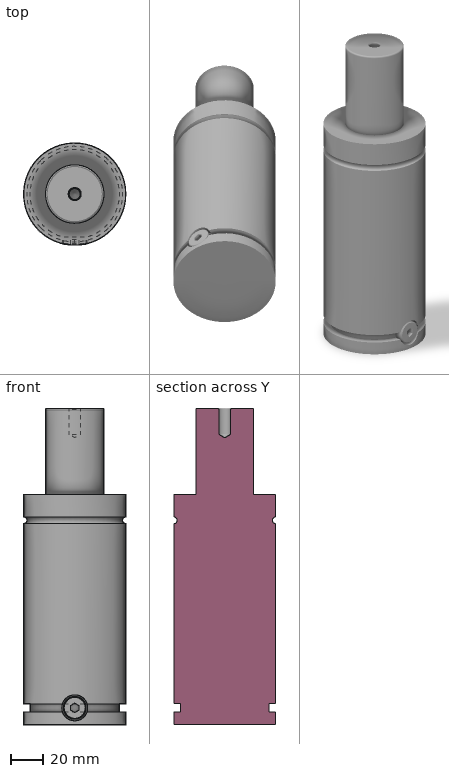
import cadquery as cq
import math

body_diameter = 63.0
body_height = 142.0

base_groove_bottom = 8.0
base_groove_width = 5.0
base_groove_diameter = 55.0

neck_groove_height = 126.0
neck_groove_radius = 2.0

rod_diameter = 36.0
total_height = 195.0
rod_edge_radius = 1.0

rod_hole_diameter = 6.8
rod_hole_mouth_diameter = 8.0
rod_hole_depth = 16.0
drill_point_angle = 118.0

port_height = base_groove_bottom + base_groove_width / 2
port_diameter = 16.0
plug_diameter = 14.0
port_depth = 5.2
plug_face_inset = 0.5
plug_edge_chamfer = 0.5
hex_across_flats = 5.0
hex_depth = 3.0

body_radius = body_diameter / 2
port_floor_y = -body_radius + port_depth
plug_face_y = -body_radius + plug_face_inset


def make_body():
    return cq.Workplane("XY").circle(body_radius).extrude(body_height)


def make_base_groove():
    return (
        cq.Workplane("XY")
        .workplane(offset=base_groove_bottom)
        .circle(body_radius)
        .circle(base_groove_diameter / 2)
        .extrude(base_groove_width)
    )


def make_neck_groove():
    return (
        cq.Workplane("XZ")
        .center(body_radius, neck_groove_height)
        .circle(neck_groove_radius)
        .revolve(360, (-body_radius, 0), (-body_radius, 1))
    )


def make_rod():
    return (
        cq.Workplane("XY")
        .workplane(offset=body_height)
        .circle(rod_diameter / 2)
        .extrude(total_height - body_height)
        .faces(">Z")
        .edges()
        .fillet(rod_edge_radius)
    )


def make_rod_hole():
    """Drilled hole with a conical bottom and a 45 degree countersunk mouth at the rod end."""
    radius = rod_hole_diameter / 2
    mouth_radius = rod_hole_mouth_diameter / 2
    countersink_depth = mouth_radius - radius
    point_length = radius / math.tan(math.radians(drill_point_angle / 2))
    shoulder = total_height - rod_hole_depth
    return (
        cq.Workplane("XZ")
        .moveTo(0, total_height)
        .lineTo(mouth_radius, total_height)
        .lineTo(radius, total_height - countersink_depth)
        .lineTo(radius, shoulder)
        .lineTo(0, shoulder - point_length)
        .close()
        .revolve(360, (0, 0), (0, 1))
    )


def port_plane(y):
    """Sketch plane across the port axis; extrusions run outward, toward -Y."""
    return cq.Workplane("XZ", origin=(0, y, port_height))


def make_port_recess():
    return port_plane(port_floor_y).circle(port_diameter / 2).extrude(port_depth)


def make_plug():
    """Round plug with a chamfered rim, standing on the floor of the port recess."""
    plug_height = port_depth - plug_face_inset
    return (
        port_plane(port_floor_y)
        .circle(plug_diameter / 2)
        .extrude(plug_height)
        .faces("<Y")
        .edges()
        .chamfer(plug_edge_chamfer)
    )


def make_hex_socket():
    across_corners = hex_across_flats / math.cos(math.pi / 6)
    return (
        port_plane(plug_face_y + hex_depth)
        .transformed(rotate=(0, 0, 90))
        .polygon(6, across_corners)
        .extrude(hex_depth)
    )


result = (
    make_body()
    .cut(make_base_groove())
    .cut(make_neck_groove())
    .union(make_rod())
    .cut(make_rod_hole())
    .cut(make_port_recess())
    .union(make_plug())
    .cut(make_hex_socket())
)